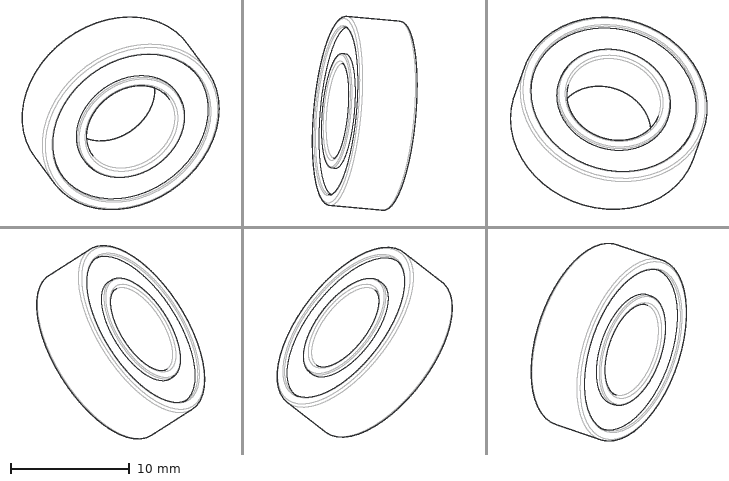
import cadquery as cq

WIDTH = 5.0
OUTER_DIAMETER = 16.0
BORE_DIAMETER = 8.0
CORNER_RADIUS = 0.2

RECESS_OUTER_DIAMETER = 14.18
RECESS_INNER_DIAMETER = 9.68
RECESS_DEPTH = 0.4
RECESS_EDGE_RADIUS = 0.1


def tube(outer_diameter, inner_diameter, length):
    """Tube along X, centred on the origin."""
    section = cq.Workplane("YZ", origin=(-length / 2, 0, 0))
    return section.circle(outer_diameter / 2).circle(inner_diameter / 2).extrude(length)


def rounded_ring(outer_diameter, inner_diameter, outer_rounding, inner_rounding):
    """Full-width bearing ring with rounded outer and inner edges at both ends."""
    smallest_circles = cq.selectors.RadiusNthSelector(0)
    largest_circles = cq.selectors.RadiusNthSelector(-1)
    ring = tube(outer_diameter, inner_diameter, WIDTH)
    ring = ring.edges(smallest_circles).fillet(inner_rounding)
    return ring.edges(largest_circles).fillet(outer_rounding)


def outer_ring():
    """Ring from the rim to the shields."""
    return rounded_ring(OUTER_DIAMETER, RECESS_OUTER_DIAMETER, CORNER_RADIUS, RECESS_EDGE_RADIUS)


def inner_ring():
    """Ring from the shields to the bore."""
    return rounded_ring(RECESS_INNER_DIAMETER, BORE_DIAMETER, RECESS_EDGE_RADIUS, CORNER_RADIUS)


def shield_core():
    """Solid body between the rings, whose ends are the shield faces."""
    core_width = WIDTH - 2 * RECESS_DEPTH
    return tube(RECESS_OUTER_DIAMETER, RECESS_INNER_DIAMETER, core_width)


result = outer_ring().union(shield_core()).union(inner_ring())